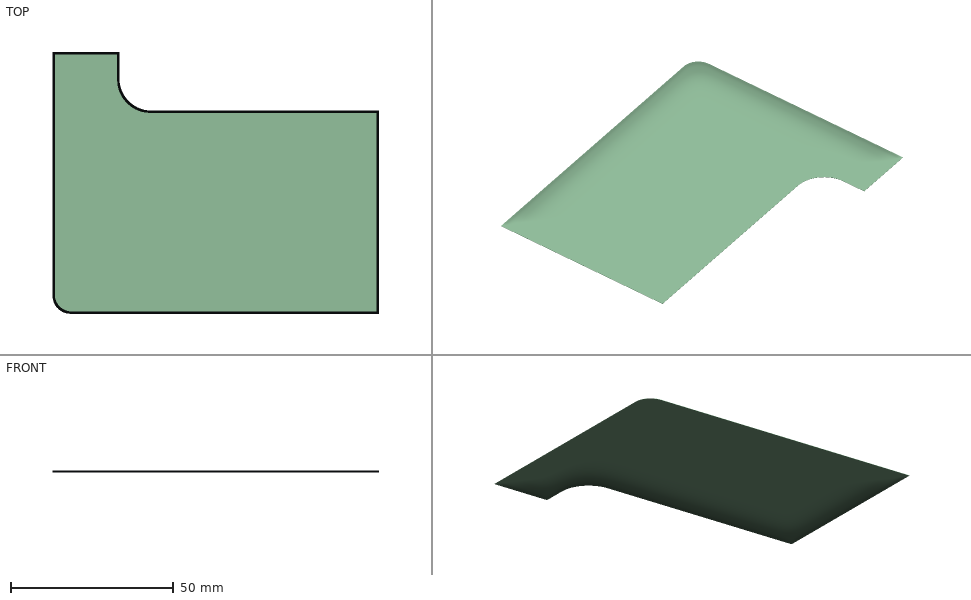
import cadquery as cq

length = 100.0
width = 80.0
thickness = 0.1

tab_length = 20.0
panel_width = 62.0

inner_radius = 10.0
outer_radius = 5.5

sheet = (
    cq.Workplane("XY")
    .polyline([
        (0, 0),
        (length, 0),
        (length, panel_width),
        (tab_length, panel_width),
        (tab_length, width),
        (0, width),
    ])
    .close()
    .extrude(thickness)
)


def round_corner(body, x, y, radius):
    """Fillet the vertical edge standing at (x, y)."""
    corner = cq.selectors.NearestToPointSelector((x, y, thickness / 2))
    return body.edges("|Z").edges(corner).fillet(radius)


sheet = round_corner(sheet, tab_length, panel_width, inner_radius)
result = round_corner(sheet, 0, 0, outer_radius)